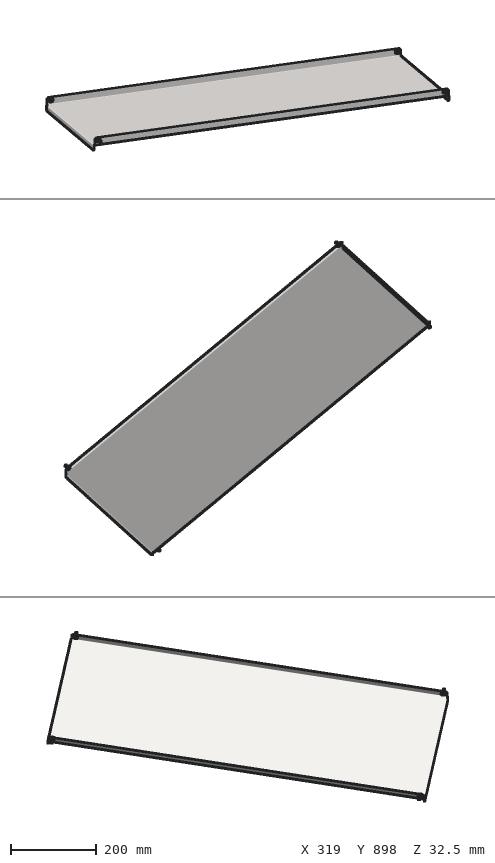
import cadquery as cq

LENGTH = 898.0
TRAY_WIDTH = 299.0
SHEET = 1.5
BEND_RADIUS = 2.5
SIDE_HEIGHT = 20.0
SIDE_END_GAP = 2.0
SIDE_CORNER = 4.5
END_HEIGHT = 14.0
END_WIDTH = 294.5
END_CORNER = 4.0

PIN_SPAN = 319.0
PIN_DIAMETER = 5.0
PIN_FROM_END = 12.0
PIN_FROM_TOP = 6.7
HEAD_DIAMETER = 11.0
HEAD_THICKNESS = 3.0

INNER_BEND_RADIUS = BEND_RADIUS - SHEET
SIDE_LENGTH = LENGTH - 2 * SIDE_END_GAP
END_Y = LENGTH / 2
END_BEND_Y = END_Y - BEND_RADIUS
END_BEND_Z = SHEET - BEND_RADIUS
END_BOTTOM = SHEET - END_HEIGHT
FLANGE_INNER_X = TRAY_WIDTH / 2 - SHEET
PIN_Y = END_Y - PIN_FROM_END
PIN_Z = SIDE_HEIGHT - PIN_FROM_TOP


def make_side_channel():
    """Floor and upright side flanges, relieved where the end bends begin."""
    outer = (
        cq.Workplane("XY")
        .box(TRAY_WIDTH, SIDE_LENGTH, SIDE_HEIGHT, centered=(True, True, False))
        .edges("|Y and <Z")
        .fillet(BEND_RADIUS)
        .edges("|X and >Z")
        .chamfer(SIDE_CORNER)
    )
    inside = (
        cq.Workplane("XY", origin=(0, 0, SHEET))
        .box(2 * FLANGE_INNER_X, LENGTH, SIDE_HEIGHT, centered=(True, True, False))
        .edges("|Y and <Z")
        .fillet(INNER_BEND_RADIUS)
    )
    channel = outer.cut(inside)
    for end in (-1, 1):
        relief = cq.Workplane("XY").box(END_WIDTH, BEND_RADIUS, SIDE_HEIGHT)
        channel = channel.cut(relief.translate((0, end * (END_Y - BEND_RADIUS / 2), 0)))
    return channel


def make_end_flange():
    """Bend and hanging flange at the +Y end, chamfered at its bottom corners."""
    return (
        cq.Workplane("YZ")
        .moveTo(END_BEND_Y, SHEET)
        .radiusArc((END_Y, END_BEND_Z), BEND_RADIUS)
        .lineTo(END_Y, END_BOTTOM)
        .lineTo(END_Y - SHEET, END_BOTTOM)
        .lineTo(END_Y - SHEET, END_BEND_Z)
        .radiusArc((END_BEND_Y, 0), -INNER_BEND_RADIUS)
        .close()
        .extrude(END_WIDTH / 2, both=True)
        .faces("<Z")
        .edges("|Y")
        .chamfer(END_CORNER)
    )


def make_pin(side, end):
    """Pin with its head against the inner face of a side flange; side and end are -1 or +1."""
    base = cq.Workplane("YZ", origin=(side * FLANGE_INNER_X, end * PIN_Y, PIN_Z))
    head = base.circle(HEAD_DIAMETER / 2).extrude(-side * HEAD_THICKNESS)
    shank = base.circle(PIN_DIAMETER / 2).extrude(side * (PIN_SPAN / 2 - FLANGE_INNER_X))
    return head.union(shank)


def make_tray(pins):
    """Folded tray with a hole for each pin."""
    end_flange = make_end_flange()
    tray = make_side_channel().union(end_flange).union(end_flange.mirror("XZ"))
    for pin in pins:
        tray = tray.cut(pin)
    return tray


pins = [make_pin(side, end) for side in (-1, 1) for end in (-1, 1)]
tray = make_tray(pins)

result = cq.Compound.makeCompound([tray.val(), *[pin.val() for pin in pins]])